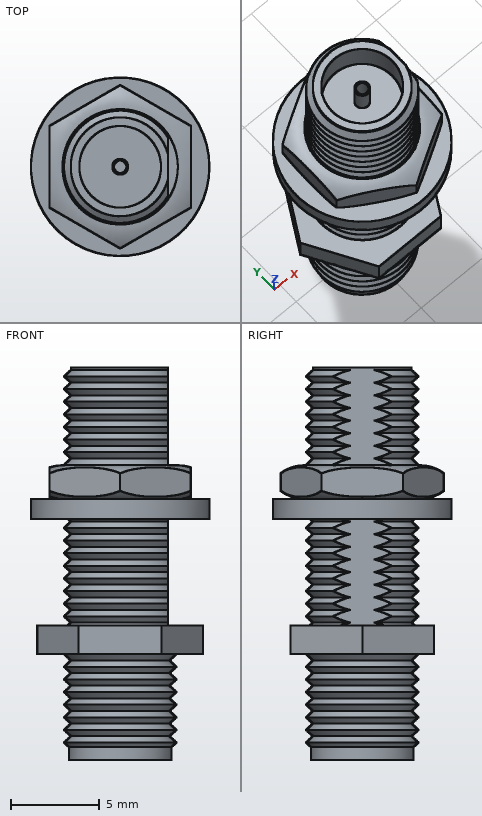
import cadquery as cq
import math

TOTAL_HEIGHT = 22.2

CREST_RADIUS = 3.17
ROOT_RADIUS = 2.8
RIDGE_COUNT = 30
LOWEST_CREST_Z = 1.0
HIGHEST_CREST_Z = 21.7
PITCH = (HIGHEST_CREST_Z - LOWEST_CREST_Z) / (RIDGE_COUNT - 1)
THREAD_DEPTH = CREST_RADIUS - ROOT_RADIUS

COLLAR_RADIUS = 2.9

FLANGE_ACROSS_FLATS = 8.13
FLANGE_BOTTOM_Z = 6.0
FLANGE_THICKNESS = 1.62
FLANGE_TOP_Z = FLANGE_BOTTOM_Z + FLANGE_THICKNESS

FLAT_X = 2.7

SOCKET_RADIUS = 2.3
SOCKET_DEPTH = 2.05
SOCKET_FLOOR_Z = TOTAL_HEIGHT - SOCKET_DEPTH
CONTACT_RADIUS = 0.45
CONTACT_BORE_RADIUS = 0.35
CONTACT_RECESS = 0.33
CONTACT_HEIGHT = SOCKET_DEPTH - CONTACT_RECESS

CLEARANCE_BORE_RADIUS = 3.26
WASHER_RADIUS = 5.05
WASHER_BOTTOM_Z = 13.63
WASHER_THICKNESS = 1.13
NUT_ACROSS_FLATS = 8.0
NUT_TURN = 30
NUT_BOTTOM_Z = WASHER_BOTTOM_Z + WASHER_THICKNESS
NUT_THICKNESS = 1.9
NUT_CROWN_RADIUS = 2.22
CROWN_OVERHANG = 0.22


def corner_diameter(across_flats):
    """Diameter through the corners of a regular hexagon."""
    return across_flats / math.cos(math.pi / 6)


def make_threaded_core():
    """Revolve the collar and the V ridges as one profile."""
    collar_top_z = LOWEST_CREST_Z - (CREST_RADIUS - COLLAR_RADIUS) * PITCH / (2 * THREAD_DEPTH)
    profile = [(0, 0), (COLLAR_RADIUS, 0), (COLLAR_RADIUS, collar_top_z)]
    for ridge in range(RIDGE_COUNT):
        crest_z = LOWEST_CREST_Z + ridge * PITCH
        profile.append((CREST_RADIUS, crest_z))
        profile.append((ROOT_RADIUS, crest_z + PITCH / 2))
    profile.append((ROOT_RADIUS, TOTAL_HEIGHT))
    profile.append((0, TOTAL_HEIGHT))
    return cq.Workplane("XZ").polyline(profile).close().revolve(360, (0, 0, 0), (0, 1, 0))


def cut_flat(core):
    """Mill the +X side flat from the flange to the top end."""
    cutter = cq.Workplane("XY", origin=(FLAT_X, 0, FLANGE_TOP_Z)).box(
        CREST_RADIUS - FLAT_X,
        2 * CREST_RADIUS,
        TOTAL_HEIGHT - FLANGE_TOP_Z,
        centered=(False, True, False),
    )
    return core.cut(cutter)


def make_connector():
    """Threaded body with its hex flange, top socket and hollow contact."""
    flange = (
        cq.Workplane("XY", origin=(0, 0, FLANGE_BOTTOM_Z))
        .polygon(6, corner_diameter(FLANGE_ACROSS_FLATS))
        .extrude(FLANGE_THICKNESS)
    )
    socket = (
        cq.Workplane("XY", origin=(0, 0, SOCKET_FLOOR_Z))
        .circle(SOCKET_RADIUS)
        .extrude(SOCKET_DEPTH)
    )
    contact = (
        cq.Workplane("XY", origin=(0, 0, SOCKET_FLOOR_Z))
        .circle(CONTACT_RADIUS)
        .circle(CONTACT_BORE_RADIUS)
        .extrude(CONTACT_HEIGHT)
    )
    return cut_flat(make_threaded_core()).union(flange).cut(socket).union(contact)


def make_washer():
    """Flat round washer under the nut."""
    return (
        cq.Workplane("XY", origin=(0, 0, WASHER_BOTTOM_Z))
        .circle(WASHER_RADIUS)
        .circle(CLEARANCE_BORE_RADIUS)
        .extrude(WASHER_THICKNESS)
    )


def crown_drop(radius):
    """Depth of the crown arc below the nut's end face at a given radius."""
    reach = radius - CLEARANCE_BORE_RADIUS
    return NUT_CROWN_RADIUS - math.sqrt(NUT_CROWN_RADIUS**2 - reach**2)


def make_nut():
    """Hex nut whose top and bottom are rounded off by a revolved arc."""
    corners = corner_diameter(NUT_ACROSS_FLATS)
    hexagon = (
        cq.Workplane("XY")
        .transformed(rotate=(0, 0, NUT_TURN))
        .polygon(6, corners)
        .extrude(NUT_THICKNESS)
    )

    outer_radius = corners / 2 + CROWN_OVERHANG
    mid_radius = (CLEARANCE_BORE_RADIUS + outer_radius) / 2
    outer_drop = crown_drop(outer_radius)
    mid_drop = crown_drop(mid_radius)
    envelope = (
        cq.Workplane("XZ")
        .moveTo(CLEARANCE_BORE_RADIUS, 0)
        .threePointArc((mid_radius, mid_drop), (outer_radius, outer_drop))
        .lineTo(outer_radius, NUT_THICKNESS - outer_drop)
        .threePointArc((mid_radius, NUT_THICKNESS - mid_drop), (CLEARANCE_BORE_RADIUS, NUT_THICKNESS))
        .close()
        .revolve(360, (0, 0, 0), (0, 1, 0))
    )
    return hexagon.intersect(envelope).translate((0, 0, NUT_BOTTOM_Z))


connector = make_connector()
washer = make_washer()
nut = make_nut()

result = cq.Compound.makeCompound([connector.val(), washer.val(), nut.val()])